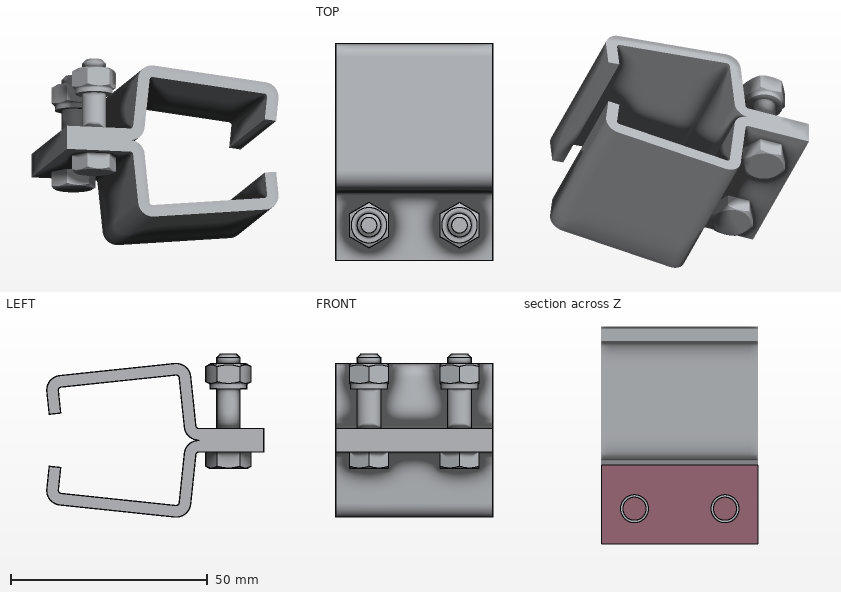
import cadquery as cq
import math

body_width = 40.0
body_depth = 55.19
body_height = 39.1
sheet = 3.0
plate_thickness = 2 * sheet
plate_depth = 16.5
arm_tilt = math.radians(6.0)
bend_inner = 0.75
bend_outer = bend_inner + sheet
lip_length = 5.8

bolt_spacing = 23.0
bolt_y = 9.0
bolt_diameter = 6.0
hole_diameter = 7.0
tip_chamfer = 1.0
overall_height = 41.52
bolt_top = overall_height - body_height / 2
across_flats = 10.0
across_corners = across_flats / math.cos(math.radians(30))
head_height = 4.15
nut_top = 19.45
nut_height = 6.4
nut_hex_height = 4.55
collar_diameter = 9.4
collar_fillet = 0.4
nut_face_diameter = 9.0
head_face_diameter = 9.6
bevel_angle = math.radians(30)


def build_arm():
    """Upper arm: bend up from the plate, tilted wall, roof and inward lip."""
    cos_t = math.cos(arm_tilt)
    sin_t = math.sin(arm_tilt)

    def shift(point, along_roof, along_wall):
        """Move a (Y, Z) point in the tilted directions of the roof and the wall."""
        return (
            point[0] + along_roof * cos_t + along_wall * sin_t,
            point[1] - along_roof * sin_t + along_wall * cos_t,
        )

    def corner_point(center, radius, roof_sign):
        """Middle of a 90 degree bend between the wall direction and the roof direction."""
        leg = radius * math.cos(math.pi / 4)
        return shift(center, roof_sign * leg, leg)

    root = (plate_depth, sheet + bend_inner)
    offset = bend_inner + bend_outer
    shoulder_z = body_height / 2 - bend_outer
    wall_length = (shoulder_z - root[1] + offset * sin_t) / cos_t
    shoulder = shift(root, offset, wall_length)
    roof_length = (body_depth - bend_outer - shoulder[0]) / cos_t
    brow = shift(shoulder, roof_length, 0)

    def root_bend_point(radius):
        """Middle of the bend that joins the plate to the wall."""
        root_direction = -(math.pi / 2 + arm_tilt) / 2
        return (
            root[0] + radius * math.cos(root_direction),
            root[1] + radius * math.sin(root_direction),
        )

    profile = (
        cq.Workplane("YZ")
        .moveTo(root[0], root[1] - bend_inner)
        .threePointArc(root_bend_point(bend_inner), shift(root, bend_inner, 0))
        .lineTo(*shift(shoulder, -bend_outer, 0))
        .threePointArc(corner_point(shoulder, bend_outer, -1), shift(shoulder, 0, bend_outer))
        .lineTo(*shift(brow, 0, bend_outer))
        .threePointArc(corner_point(brow, bend_outer, 1), shift(brow, bend_outer, 0))
        .lineTo(*shift(brow, bend_outer, -lip_length))
        .lineTo(*shift(brow, bend_inner, -lip_length))
        .lineTo(*shift(brow, bend_inner, 0))
        .threePointArc(corner_point(brow, bend_inner, 1), shift(brow, 0, bend_inner))
        .lineTo(*shift(shoulder, 0, bend_inner))
        .threePointArc(corner_point(shoulder, bend_inner, -1), shift(shoulder, -bend_inner, 0))
        .lineTo(*shift(root, bend_outer, 0))
        .threePointArc(root_bend_point(bend_outer), (root[0], root[1] - bend_outer))
        .close()
    )
    return profile.extrude(body_width / 2, both=True)


def build_plate():
    """Flat plate with two clearance holes."""
    plate = cq.Workplane("XY").box(
        body_width, plate_depth, plate_thickness, centered=(True, False, True)
    )
    holes = (
        cq.Workplane("XY", origin=(0, bolt_y, 0))
        .rarray(bolt_spacing, 1, 2, 1)
        .circle(hole_diameter / 2)
        .extrude(plate_thickness, both=True)
    )
    return plate.cut(holes)


def build_hexagon(bottom, top):
    """Hexagonal prism on the Z axis with corners toward +Y and -Y."""
    return (
        cq.Workplane("XY", origin=(0, 0, bottom))
        .transformed(rotate=(0, 0, 90))
        .polygon(6, across_corners)
        .extrude(top - bottom)
    )


def bevel_height(face_diameter):
    """Height of a bevel that runs from a round face out to the hexagon corners."""
    return (across_corners - face_diameter) / 2 * math.tan(bevel_angle)


def build_head():
    """Hexagonal bolt head under the plate, bevelled around its lower face."""
    top = -plate_thickness / 2
    bottom = top - head_height
    corner_radius = across_corners / 2
    face_radius = head_face_diameter / 2
    envelope = (
        cq.Workplane("XZ")
        .moveTo(0, top)
        .lineTo(corner_radius, top)
        .lineTo(corner_radius, bottom + bevel_height(head_face_diameter))
        .lineTo(face_radius, bottom)
        .lineTo(0, bottom)
        .close()
        .revolve(360, (0, 0, 0), (0, 1, 0))
    )
    return build_hexagon(bottom, top).intersect(envelope)


def build_nut():
    """Hexagonal nut, bevelled above and below, with a filleted round collar underneath."""
    bottom = nut_top - nut_height
    corner_radius = across_corners / 2
    collar_radius = collar_diameter / 2
    corner_bottom = nut_top - nut_hex_height
    collar_top = corner_bottom - bevel_height(collar_diameter)
    fillet_reach = collar_fillet * math.tan((math.pi / 2 - bevel_angle) / 2)
    fillet_start = (
        collar_radius + fillet_reach * math.cos(bevel_angle),
        collar_top + fillet_reach * math.sin(bevel_angle),
    )
    envelope = (
        cq.Workplane("XZ")
        .moveTo(0, nut_top)
        .lineTo(nut_face_diameter / 2, nut_top)
        .lineTo(corner_radius, nut_top - bevel_height(nut_face_diameter))
        .lineTo(corner_radius, corner_bottom)
        .lineTo(*fillet_start)
        .tangentArcPoint((collar_radius, collar_top - fillet_reach), relative=False)
        .lineTo(collar_radius, bottom)
        .lineTo(0, bottom)
        .close()
        .revolve(360, (0, 0, 0), (0, 1, 0))
    )
    return build_hexagon(bottom, nut_top).intersect(envelope)


def build_bolt():
    """Bolt on the Z axis: chamfered shank with its head and nut."""
    plate_bottom = -plate_thickness / 2
    shank = (
        cq.Workplane("XY", origin=(0, 0, plate_bottom))
        .circle(bolt_diameter / 2)
        .extrude(bolt_top - plate_bottom)
        .faces(">Z")
        .chamfer(tip_chamfer)
    )
    return shank.union(build_head()).union(build_nut())


upper_arm = build_arm()
lower_arm = upper_arm.mirror("XY")
result = build_plate().union(upper_arm).union(lower_arm)
bolt = build_bolt()
for side in (-1, 1):
    result = result.union(bolt.translate((side * bolt_spacing / 2, bolt_y, 0)))